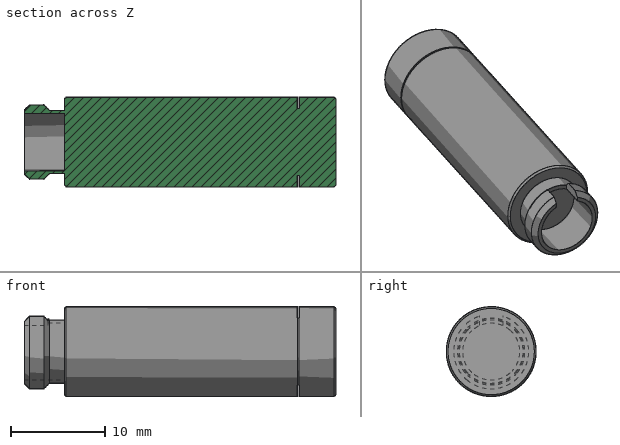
import cadquery as cq

length = 32.97
collar_lead_chamfer = 0.53
collar_back_edge = 2.05
shoulder = 4.22
cap_length = 3.9
groove_width = 0.2
bore_depth = shoulder

body_diameter = 9.53
collar_diameter = 7.9
neck_diameter = 6.73
groove_diameter = 7.12
bore_diameter = 6.03

body_chamfer = 0.2
notch_size = 2.5

open_end = -length / 2


def cylinder(start, end, diameter):
    """Cylinder along X between two distances from the open end."""
    return cq.Workplane("YZ", origin=(open_end + start, 0, 0)).circle(diameter / 2).extrude(end - start)


def make_body():
    """Main barrel with a chamfer on both ends."""
    return cylinder(shoulder, length, body_diameter).edges().chamfer(body_chamfer)


def make_collar():
    """Collar with a chamfered lip and a 45 degree slope down to the neck."""
    back_slope = (collar_diameter - neck_diameter) / 2
    collar = cylinder(0, collar_back_edge + back_slope, collar_diameter)
    collar = collar.faces("<X").chamfer(collar_lead_chamfer)
    return collar.faces(">X").chamfer(back_slope)


def make_groove():
    """Narrow ring that separates the end cap from the barrel."""
    groove_end = length - cap_length
    groove_start = groove_end - groove_width
    ring = cylinder(groove_start, groove_end, body_diameter)
    return ring.cut(cylinder(groove_start, groove_end, groove_diameter))


def make_notch():
    """Square notch through the top wall of the collar, open at the end."""
    notch = cq.Workplane("XY").box(notch_size, notch_size, collar_diameter / 2, centered=(False, True, False))
    return notch.translate((open_end, 0, 0))


neck = cylinder(0, shoulder, neck_diameter)
result = (
    make_body()
    .union(neck)
    .union(make_collar())
    .cut(make_groove())
    .cut(cylinder(0, bore_depth, bore_diameter))
    .cut(make_notch())
)